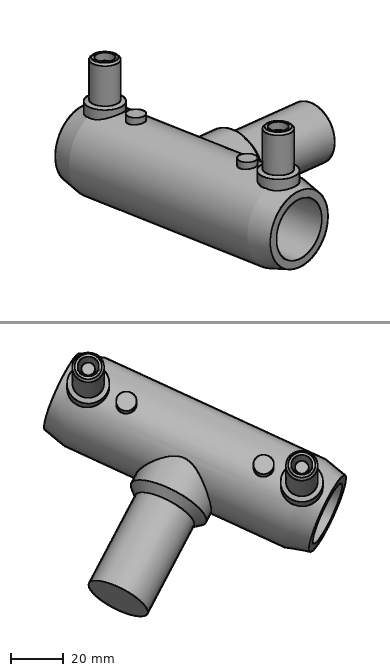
import cadquery as cq

tube_length = 112.0
tube_radius = 18.5
tube_end_radius = 16.0
taper_length = 9.5

bore_radius = 12.5
stop_radius = 11.9
stop_width = 3.4

branch_end = 66.0
branch_radius = 12.5
branch_collar_radius = 16.0
branch_collar_end = 22.7
branch_cone_length = 3.4

post_inset = 10.9
post_top = 39.5
post_radius = 6.0
post_chamfer = 0.9
post_collar_radius = 8.1
post_collar_rim = 21.2
post_collar_slope_height = 0.7

socket_radius = 4.0
socket_depth = 13.4
pin_radius = 2.6
pin_recess = 2.6

button_inset = 27.0
button_radius = 3.9
button_top = 21.2

half_length = tube_length / 2


def upright_cylinder(x, radius, bottom, top):
    """Cylinder along Z on the tube's upper centre line."""
    return cq.Workplane("XY", origin=(x, 0, bottom)).circle(radius).extrude(top - bottom)


def tube():
    """Solid outer body with a tapered nose at each end."""
    shoulder = half_length - taper_length
    profile = [
        (-half_length, 0),
        (-half_length, tube_end_radius),
        (-shoulder, tube_radius),
        (shoulder, tube_radius),
        (half_length, tube_end_radius),
        (half_length, 0),
    ]
    return cq.Workplane("XY").polyline(profile).close().revolve(360, (0, 0, 0), (1, 0, 0))


def branch():
    """Collar, cone and spigot, rooted on the tube's axis."""
    profile = [
        (0, 0),
        (branch_collar_radius, 0),
        (branch_collar_radius, branch_collar_end),
        (branch_radius, branch_collar_end + branch_cone_length),
        (branch_radius, branch_end),
        (0, branch_end),
    ]
    return cq.Workplane("XY").polyline(profile).close().revolve(360, (0, 0, 0), (0, 1, 0))


def terminal(x):
    """Post on a collar with a sloping top, with a pin standing in its socket."""
    collar = upright_cylinder(x, post_collar_radius, 0, post_collar_rim)
    slope = cq.Solid.makeCone(
        post_collar_radius, post_radius, post_collar_slope_height, pnt=cq.Vector(x, 0, post_collar_rim)
    )
    post = upright_cylinder(x, post_radius, 0, post_top)
    post = post.faces(">Z").chamfer(post_chamfer)
    socket_floor = post_top - socket_depth
    socket = upright_cylinder(x, socket_radius, socket_floor, post_top)
    pin = upright_cylinder(x, pin_radius, socket_floor, post_top - pin_recess)
    return collar.union(slope).union(post).cut(socket).union(pin)


def bore():
    """Through passage, narrowed at mid-length by the stop ring."""
    start = cq.Workplane("YZ", origin=(-half_length, 0, 0))
    passage = start.circle(stop_radius).extrude(tube_length)
    socket_length = (tube_length - stop_width) / 2
    mouth = start.circle(bore_radius).extrude(socket_length)
    return passage.union(mouth).union(mouth.mirror("YZ"))


result = tube().union(branch())
for side in (-1, 1):
    result = result.union(terminal(side * (half_length - post_inset)))
    button_x = side * (half_length - button_inset)
    result = result.union(upright_cylinder(button_x, button_radius, 0, button_top))
result = result.cut(bore())